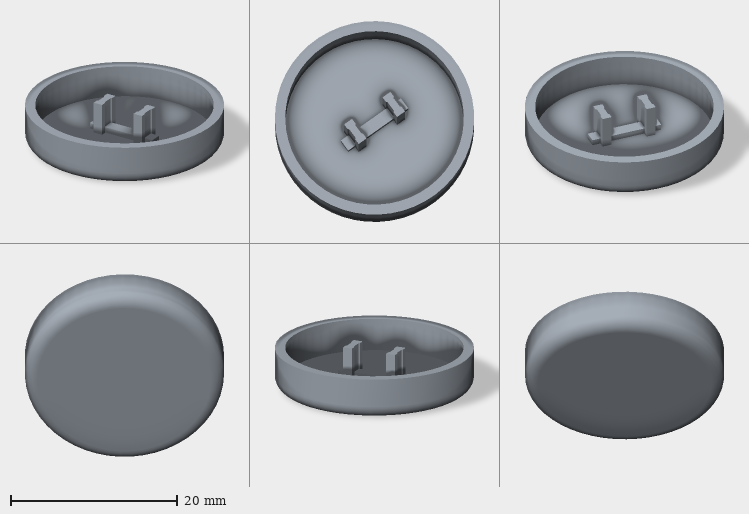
import cadquery as cq

outer_diameter = 24.0
inner_diameter = 21.5
cup_height = 5.0
floor_thickness = 1.0
bottom_fillet = 1.5

bar_length = 8.93
bar_width = 1.54
bar_height = 0.72
post_thickness = 1.18
post_width = 3.0
post_spacing = 5.7
post_height = cup_height - floor_thickness
web_thickness = 0.9
groove_floor_width = 1.3


def block_on_floor(length, width, height):
    """Block centred on the cup axis, resting on the floor."""
    return (
        cq.Workplane("XY")
        .workplane(offset=floor_thickness)
        .rect(length, width)
        .extrude(height)
    )


def make_cup():
    body = (
        cq.Workplane("XY")
        .circle(outer_diameter / 2)
        .extrude(cup_height)
        .faces("<Z")
        .edges()
        .fillet(bottom_fillet)
    )
    cavity = (
        cq.Workplane("XY")
        .workplane(offset=floor_thickness)
        .circle(inner_diameter / 2)
        .extrude(cup_height - floor_thickness)
    )
    return body.cut(cavity)


def make_post():
    """Upright post with a full-height groove, flaring to the bar width, in each X face."""
    face_x = post_thickness / 2
    floor_x = web_thickness / 2
    mouth_y = bar_width / 2
    floor_y = groove_floor_width / 2
    groove = (
        cq.Workplane("XY")
        .workplane(offset=floor_thickness)
        .polyline([(face_x, -mouth_y), (floor_x, -floor_y), (floor_x, floor_y), (face_x, mouth_y)])
        .close()
        .extrude(post_height)
    )
    post = block_on_floor(post_thickness, post_width, post_height)
    return post.cut(groove).cut(groove.mirror("YZ"))


result = make_cup()
for side in (-1, 1):
    result = result.union(make_post().translate((side * post_spacing / 2, 0, 0)))

result = result.union(block_on_floor(bar_length, bar_width, bar_height))